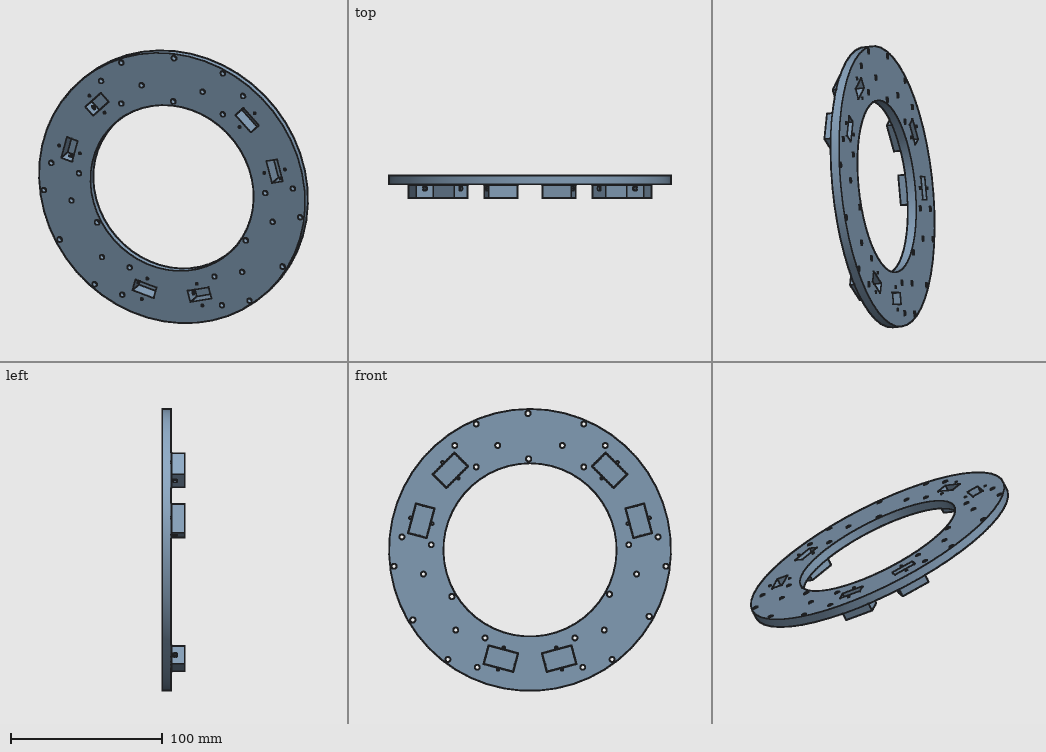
import cadquery as cq
import math

outer_diameter = 186.0
bore_diameter = 114.0
plate_thickness = 6.0

block_length = 19.7
block_width = 12.2
block_height = 9.0
block_center_radius = 74.2
block_wall = 2.2
base_flare = 0.4

cavity_length = block_length - 2 * block_wall
cavity_width = block_width - 2 * block_wall
cavity_height = block_height - block_wall

end_hole_diameter = 2.9
end_hole_height = 2.6

pin_hole_diameter = 1.5
pin_hole_spacing = 15.0

mount_hole_diameter = 3.2
mount_square_side = 20.0
mount_center_radius = 73.75
mount_center_offset = 23.6

ring_hole_diameter = 3.4
ring_hole_radii = (60.0, 90.0)
ring_hole_angle = 90.85

sector_count = 3
sector_step = 360.0 / sector_count
sector_axis_angle = 90.0
block_half_angle = 45.0


def plane_at(angle):
    """Front-face plane with local x pointing outward at the angle and the normal along -Y."""
    turn = math.radians(angle)
    return cq.Plane(
        origin=(0, 0, 0),
        xDir=(math.cos(turn), 0, math.sin(turn)),
        normal=(0, -1, 0),
    )


def block_base(angle):
    """Workplane on the front face, centered under the block at the angle."""
    return cq.Workplane(plane_at(angle)).center(block_center_radius, 0)


def make_plate():
    return (
        cq.Workplane(plane_at(sector_axis_angle))
        .circle(outer_diameter / 2)
        .circle(bore_diameter / 2)
        .extrude(-plate_thickness)
    )


def make_block(angle):
    """Box with a 45 degree foot where it meets the plate."""
    body = block_base(angle).rect(block_width, block_length).extrude(block_height)
    foot = (
        block_base(angle)
        .rect(block_width + 2 * base_flare, block_length + 2 * base_flare)
        .workplane(offset=base_flare)
        .rect(block_width, block_length)
        .loft(ruled=True)
    )
    return body.union(foot)


def make_cavity(angle):
    return (
        block_base(angle)
        .workplane(offset=-plate_thickness)
        .rect(cavity_width, cavity_length)
        .extrude(plate_thickness + cavity_height)
    )


def make_end_holes(angle):
    """Cylinder along the block, passing through both end walls."""
    plane = plane_at(angle)
    half_length = block_length / 2 + base_flare
    start = plane.toWorldCoords((block_center_radius, -half_length, end_hole_height))
    return cq.Workplane(
        cq.Solid.makeCylinder(end_hole_diameter / 2, 2 * half_length, start, plane.yDir)
    )


def make_plate_holes(angle, points, diameter):
    """Cylinders through the plate at (outward, tangential) points."""
    return (
        cq.Workplane(plane_at(angle))
        .pushPoints(points)
        .circle(diameter / 2)
        .extrude(-plate_thickness)
    )


def make_pin_holes(angle):
    half_spacing = pin_hole_spacing / 2
    points = [(block_center_radius + side * half_spacing, 0) for side in (-1, 1)]
    return make_plate_holes(angle, points, pin_hole_diameter)


def make_mount_holes(angle, side):
    """Square of four holes on the given tangential side of the block at the angle."""
    half_side = mount_square_side / 2
    points = [
        (mount_center_radius + i * half_side, side * mount_center_offset + j * half_side)
        for i in (-1, 1)
        for j in (-1, 1)
    ]
    return make_plate_holes(angle, points, mount_hole_diameter)


def make_ring_holes(angle):
    points = [(radius, 0) for radius in ring_hole_radii]
    return make_plate_holes(angle, points, ring_hole_diameter)


result = make_plate()
for sector in range(sector_count):
    sector_turn = sector * sector_step
    for side in (-1, 1):
        block_angle = sector_axis_angle + sector_turn + side * block_half_angle
        result = result.union(make_block(block_angle))
        result = result.cut(make_cavity(block_angle))
        result = result.cut(make_end_holes(block_angle))
        result = result.cut(make_pin_holes(block_angle))
        result = result.cut(make_mount_holes(block_angle, -side))
    result = result.cut(make_ring_holes(ring_hole_angle + sector_turn))